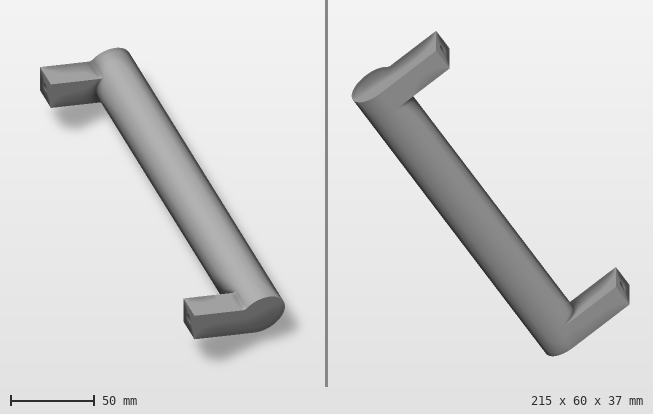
import cadquery as cq
import math

length = 215.0
bar_diameter = 30.0
bar_radius = bar_diameter / 2
reach = 45.0

leg_width = 15.0
mount_height = 22.0
junction_radius = 2.5

hole_diameter = 5.0
hole_depth = 15.0
chamfer_diameter = 6.0
drill_point_angle = 118.0

slope = math.asin(bar_radius / reach)
tangent_y = -bar_radius * math.sin(slope)
tangent_z = -bar_radius * math.cos(slope)


def make_bar():
    return cq.Workplane("YZ").circle(bar_radius).extrude(length / 2, both=True)


def make_leg(center_x):
    """Sloping leg, with its upper joint to the bar rounded."""
    top_at_axis = mount_height - reach * math.tan(slope)
    leg = (
        cq.Workplane("YZ", origin=(center_x, 0, 0))
        .moveTo(-reach, 0)
        .lineTo(tangent_y, tangent_z)
        .lineTo(0, 0)
        .lineTo(0, top_at_axis)
        .lineTo(-reach, mount_height)
        .close()
        .extrude(leg_width / 2, both=True)
    )
    return leg.union(make_junction_fillet(center_x, top_at_axis))


def make_junction_fillet(center_x, top_at_axis):
    """Wedge under an arc tangent to both the bar and the top of the leg."""
    arc_v = top_at_axis * math.cos(slope) + junction_radius
    arc_u = math.sqrt((bar_radius + junction_radius) ** 2 - arc_v ** 2)
    bar_share = bar_radius / (bar_radius + junction_radius)
    bar_angle = math.atan2(arc_v, arc_u)
    mid_angle = (bar_angle + math.pi + 1.5 * math.pi) / 2

    def turned(u, v):
        y = -u * math.cos(slope) + v * math.sin(slope)
        z = u * math.sin(slope) + v * math.cos(slope)
        return y, z

    bar_touch = turned(arc_u * bar_share, arc_v * bar_share)
    leg_touch = turned(arc_u, arc_v - junction_radius)
    arc_middle = turned(
        arc_u + junction_radius * math.cos(mid_angle),
        arc_v + junction_radius * math.sin(mid_angle),
    )
    return (
        cq.Workplane("YZ", origin=(center_x, 0, 0))
        .moveTo(0, 0)
        .lineTo(*bar_touch)
        .threePointArc(arc_middle, leg_touch)
        .close()
        .extrude(leg_width / 2, both=True)
    )


def make_hole(center_x):
    """Chamfered blind hole, turned about its axis from the mounting face."""
    radius = hole_diameter / 2
    chamfer = (chamfer_diameter - hole_diameter) / 2
    point_depth = radius / math.tan(math.radians(drill_point_angle / 2))
    return (
        cq.Workplane("XY", origin=(center_x, -reach, mount_height / 2))
        .lineTo(radius + chamfer, 0)
        .lineTo(radius, chamfer)
        .lineTo(radius, hole_depth)
        .lineTo(0, hole_depth + point_depth)
        .close()
        .revolve(360, (0, 0, 0), (0, 1, 0))
    )


result = make_bar()
for side in (-1, 1):
    leg_x = side * (length - leg_width) / 2
    result = result.union(make_leg(leg_x)).cut(make_hole(leg_x))